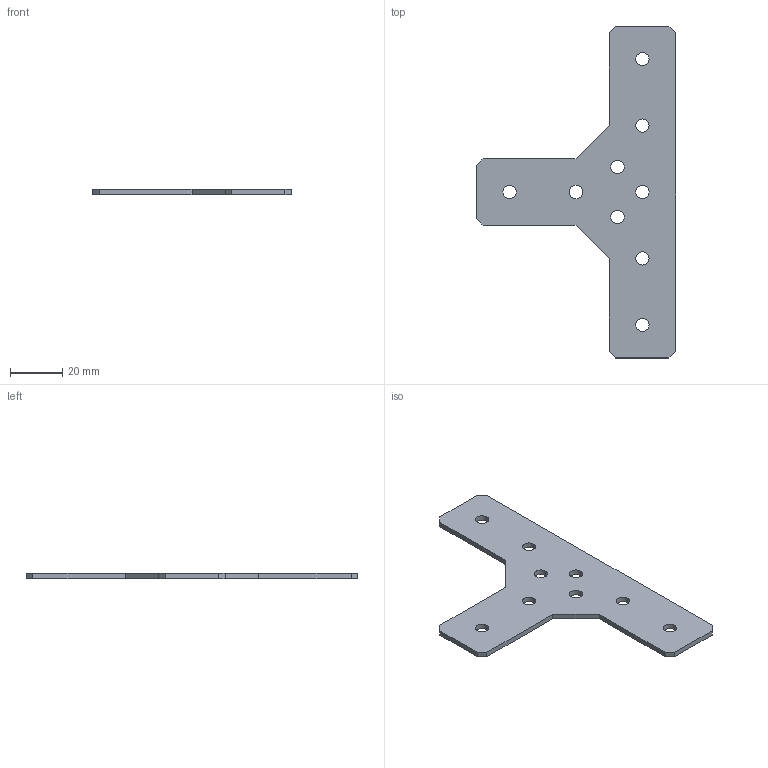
import cadquery as cq

pitch = 25.4
thickness = 2.032
bar_length = 5 * pitch
plate_width = 3 * pitch
corner_cut = 2.54
gusset = pitch / 2
hole_diameter = 5.1
brace_hole_offset = 9.525

back_x = plate_width / 2
stem_end_x = -plate_width / 2
bar_front_x = back_x - pitch
bar_axis_x = back_x - pitch / 2
bar_end_y = bar_length / 2
stem_half_width = pitch / 2


def mirrored_in_y(points):
    """Points reflected across the X axis, in reverse order to continue an outline."""
    return [(x, -y) for x, y in reversed(points)]


def plate():
    upper_half = [
        (stem_end_x, stem_half_width - corner_cut),
        (stem_end_x + corner_cut, stem_half_width),
        (bar_front_x - gusset, stem_half_width),
        (bar_front_x, stem_half_width + gusset),
        (bar_front_x, bar_end_y - corner_cut),
        (bar_front_x + corner_cut, bar_end_y),
        (back_x - corner_cut, bar_end_y),
        (back_x, bar_end_y - corner_cut),
    ]
    outline = upper_half + mirrored_in_y(upper_half)
    return cq.Workplane("XY").polyline(outline).close().extrude(thickness)


def hole_centres():
    bar_holes = [(bar_axis_x, step * pitch) for step in (-2, -1, 0, 1, 2)]
    stem_holes = [(bar_axis_x - step * pitch, 0) for step in (1, 2)]
    brace_holes = [(bar_axis_x - brace_hole_offset, side * brace_hole_offset) for side in (-1, 1)]
    return bar_holes + stem_holes + brace_holes


def drill_holes(body):
    drills = (
        cq.Workplane("XY")
        .pushPoints(hole_centres())
        .circle(hole_diameter / 2)
        .extrude(thickness)
    )
    return body.cut(drills)


result = drill_holes(plate())